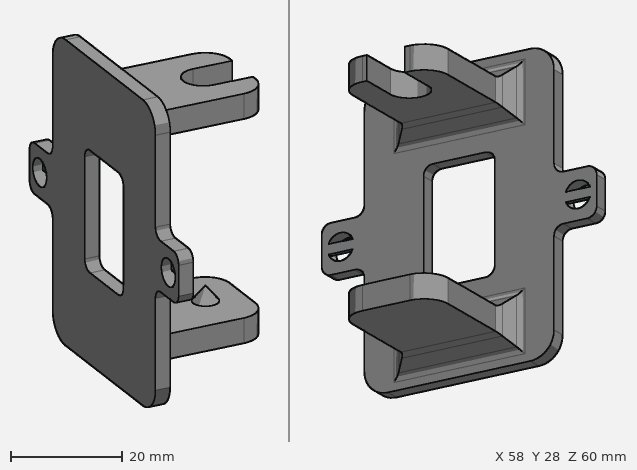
import cadquery as cq
import math

plate_width = 40.0
plate_height = 60.0
plate_thickness = 3.0
plate_corner_radius = 5.0
window_width = 15.0
window_height = 24.0
small_radius = 2.0

ear_span = 58.0
ear_height = 10.0
ear_hole_diameter = 5.4
ear_hole_offset = 25.0
bar_height = 2.0
bar_thickness = 1.0

overall_depth = 28.0
arm_width = 20.0
arm_thickness = 5.0
arm_gap = 39.0
arm_offset = (arm_gap + arm_thickness) / 2
arm_corner_radius = 5.0
slot_width = 8.0
slot_center_from_tip = 8.0

foot_chamfer = 3.0
foot_blend_radius = 2.0

pin_diameter = 5.0
pin_height = 3.0
pin_from_tip = 7.5


def upright_box(width, height, front, back):
    """Box centred on X and Z, reaching from Y = front to Y = back."""
    depth = back - front
    return cq.Workplane("XY").box(width, depth, height).translate((0, front + depth / 2, 0))


def make_plate():
    plate = upright_box(plate_width, plate_height, 0, plate_thickness)
    plate = plate.edges("|Y").fillet(plate_corner_radius)
    ears = upright_box(ear_span, ear_height, 0, plate_thickness)
    ears = ears.edges("|Y").fillet(small_radius)
    plate = plate.union(ears)

    reach = plate_width / 2 + small_radius / 2
    corner_finder = cq.selectors.BoxSelector(
        (-reach, 0, -ear_height),
        (reach, plate_thickness, ear_height),
    )
    plate = plate.edges("|Y").edges(corner_finder).fillet(small_radius)

    window = upright_box(window_width, window_height, 0, plate_thickness)
    plate = plate.cut(window.edges("|Y").fillet(small_radius))

    for side in (-1, 1):
        center_x = side * ear_hole_offset
        hole = (
            cq.Workplane("XZ")
            .center(center_x, 0)
            .circle(ear_hole_diameter / 2)
            .extrude(-plate_thickness)
        )
        bar = upright_box(
            ear_hole_diameter, bar_height, plate_thickness - bar_thickness, plate_thickness
        ).translate((center_x, 0, 0))
        plate = plate.cut(hole.cut(bar))
    return plate


def foot_profile(plane, half_width, length):
    """Flared prism: 45 degree slopes, blended into the plate and the arm."""
    tangent = foot_blend_radius * math.tan(math.radians(22.5))
    diagonal = tangent * math.sqrt(0.5)
    mid_run = foot_blend_radius * math.sin(math.radians(22.5))
    mid_rise = foot_blend_radius * (1 - math.cos(math.radians(22.5)))
    arm_end = foot_chamfer + tangent

    flank = [
        (arm_end, 0),
        (arm_end - mid_run, mid_rise),
        (foot_chamfer - diagonal, diagonal),
        (diagonal, foot_chamfer - diagonal),
        (mid_rise, arm_end - mid_run),
        (0, arm_end),
    ]
    right = [(half_width + out, plate_thickness + back) for out, back in flank]
    left = [(-across, back) for across, back in reversed(right)]
    if plane == "YZ":
        right = [(back, across) for across, back in right]
        left = [(back, across) for across, back in left]

    outline = cq.Workplane(plane).moveTo(*right[0])
    outline = outline.threePointArc(right[1], right[2]).lineTo(*right[3])
    outline = outline.threePointArc(right[4], right[5]).lineTo(*left[0])
    outline = outline.threePointArc(left[1], left[2]).lineTo(*left[3])
    outline = outline.threePointArc(left[4], left[5]).close()
    return outline.extrude(length / 2, both=True)


def make_arm():
    arm = upright_box(arm_width, arm_thickness, plate_thickness, overall_depth)
    arm = arm.edges("|Z and >Y").fillet(arm_corner_radius)
    across_width = foot_profile("XY", arm_width / 2, plate_height)
    across_thickness = foot_profile("YZ", arm_thickness / 2, ear_span)
    return arm.union(across_width.intersect(across_thickness))


def make_slot():
    center_y = overall_depth - slot_center_from_tip
    round_end = cq.Workplane("XY").center(0, center_y).circle(slot_width / 2)
    round_end = round_end.extrude(arm_thickness / 2, both=True)
    return upright_box(slot_width, arm_thickness, center_y, overall_depth).union(round_end)


def make_pin():
    cone = cq.Solid.makeCone(pin_diameter / 2, 0, pin_height)
    return cq.Workplane(obj=cone).translate((0, overall_depth - pin_from_tip, arm_thickness / 2))


upper_arm = make_arm().cut(make_slot()).translate((0, 0, arm_offset))
lower_arm = make_arm().union(make_pin()).translate((0, 0, -arm_offset))
result = make_plate().union(upper_arm).union(lower_arm)